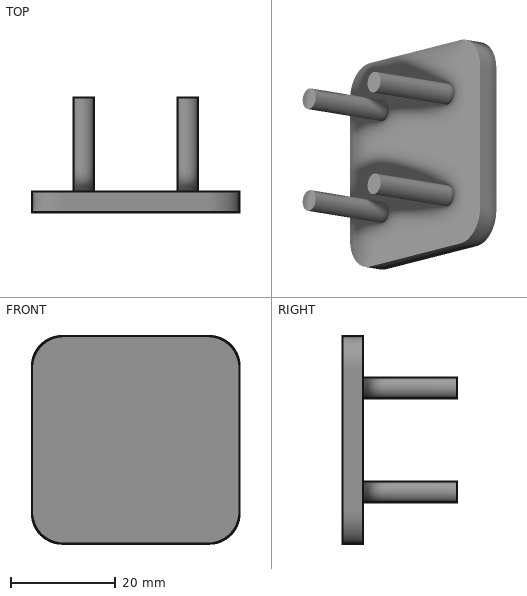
import cadquery as cq

plate_side = 39.8
plate_thickness = 4.0
corner_radius = 6.0

overall_depth = 22.0
pin_length = overall_depth - plate_thickness
pin_diameter = 4.0
pin_spacing = plate_side / 2


def make_plate():
    """Plate with rounded corners, from Y = 0 to Y = plate_thickness."""
    return (
        cq.Workplane("XZ")
        .rect(plate_side, plate_side)
        .extrude(-plate_thickness)
        .edges("|Y")
        .fillet(corner_radius)
    )


def add_pins(plate):
    """Add a square pattern of round pins to the back of the plate."""
    return (
        plate.faces(">Y")
        .workplane(origin=(0, plate_thickness, 0))
        .rect(pin_spacing, pin_spacing, forConstruction=True)
        .vertices()
        .circle(pin_diameter / 2)
        .extrude(pin_length)
    )


result = add_pins(make_plate())